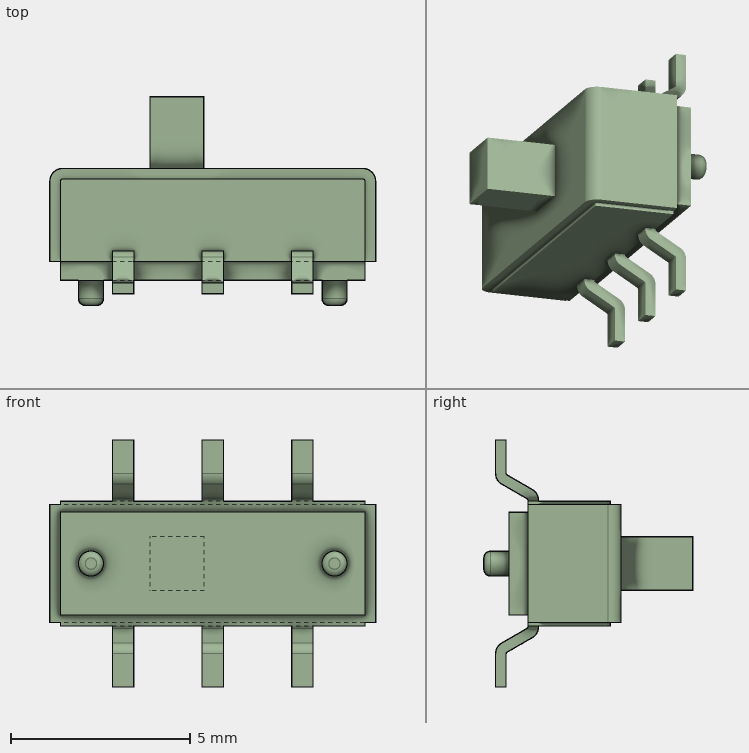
import cadquery as cq
import math


cover_length = 9.1
cover_depth = 2.6
cover_height = 3.3
sheet = 0.3
cover_bend_inner = 0.06
cover_bend_outer = cover_bend_inner + sheet

body_length = cover_length - 2 * sheet
body_depth = cover_depth - sheet
body_height = 3.485
base_height = 2.88
base_protrusion = 0.53

slider_size = 1.5
slider_travel_offset = -1.0
slider_protrusion = 2.0

pin_diameter = 0.7
pin_length = 0.7
pin_tip_radius = 0.19
pin_spacing = 6.8

terminal_width = 0.6
terminal_pitch = 2.5
terminal_span = 6.9
terminal_front = -0.9
terminal_bend_angle = math.radians(60)
terminal_bend_inner = 0.04
terminal_bend_middle = terminal_bend_inner + sheet / 2
terminal_first_bend_height = 1.77
terminal_root_height = body_height / 2 - sheet


def block(length, height, y_start, y_end, x_center=0):
    """Box centred on Z = 0, running from y_start to y_end."""
    return (
        cq.Workplane("XY")
        .box(length, y_end - y_start, height, centered=(True, False, True))
        .translate((x_center, y_start, 0))
    )


def make_cover():
    return block(cover_length, cover_height, 0, cover_depth).edges("|Z and >Y").fillet(cover_bend_outer)


def make_body():
    body = block(body_length, body_height, 0, body_depth).edges("|Z and >Y").fillet(cover_bend_inner)
    base = block(body_length, base_height, -base_protrusion, body_depth / 2)
    return body.union(base)


def make_slider():
    y_end = cover_depth + slider_protrusion
    return block(slider_size, slider_size, cover_depth / 2, y_end, slider_travel_offset)


def make_pin(x_center):
    return (
        cq.Workplane("XZ", origin=(x_center, 0, 0))
        .circle(pin_diameter / 2)
        .extrude(base_protrusion + pin_length)
        .faces("<Y")
        .edges()
        .fillet(pin_tip_radius)
    )


def make_upper_terminal(x_center):
    """Sweep the strip section up out of the body, through both bends, to the tip."""
    root_y = sheet / 2
    foot_y = terminal_front + sheet / 2
    bend_shift = terminal_bend_middle * (1 - math.cos(terminal_bend_angle))
    bend_rise = terminal_bend_middle * math.sin(terminal_bend_angle)
    slope_shift = root_y - foot_y - 2 * bend_shift
    slope_rise = slope_shift / math.tan(terminal_bend_angle)

    slope_start = (root_y - bend_shift, terminal_first_bend_height + bend_rise)
    slope_end = (slope_start[0] - slope_shift, slope_start[1] + slope_rise)
    foot_start = (foot_y, slope_end[1] + bend_rise)

    center_line = (
        cq.Workplane("YZ", origin=(x_center, 0, 0))
        .moveTo(root_y, terminal_root_height)
        .lineTo(root_y, terminal_first_bend_height)
        .tangentArcPoint(slope_start, relative=False)
        .lineTo(*slope_end)
        .tangentArcPoint(foot_start, relative=False)
        .lineTo(foot_y, terminal_span / 2)
    )
    return (
        cq.Workplane("XY", origin=(x_center, root_y, terminal_root_height))
        .rect(terminal_width, sheet)
        .sweep(center_line)
    )


result = make_cover().union(make_body()).union(make_slider())

for x_center in (-pin_spacing / 2, pin_spacing / 2):
    result = result.union(make_pin(x_center))

for x_center in (-terminal_pitch, 0, terminal_pitch):
    upper_terminal = make_upper_terminal(x_center)
    result = result.union(upper_terminal).union(upper_terminal.mirror("XY"))